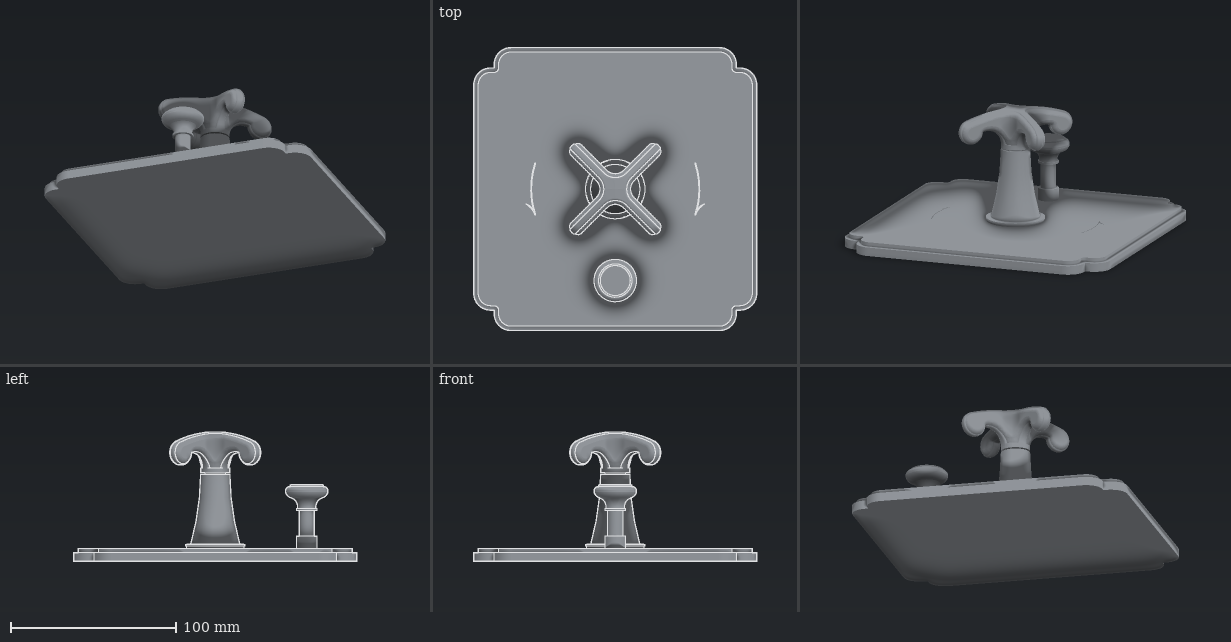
import cadquery as cq
import math

plate_side = 171.5
rim_height = 5.3
rim_width = 2.7
plate_height = 7.9
lobe_radius = 10.3
lobe_start = 22.6
notch_depth = 12.3

flange_radius = 18.0
flange_foot_radius = 17.5
flange_lip_height = 9.3
flange_edge_height = 10.1
flange_crown_radius = 16.6
flange_crown_height = 10.5
post_foot_radius = 15.0
post_waist_radius = 11.1
post_waist_height = 27.5
post_top_height = 52.6
hub_radius = 9.0

groove_height = 0.9
groove_core_radius = 6.3

handle_top_height = 78.4
arm_reach = 37.2
arm_half_width = 4.5
arm_edge_radius = 3.1
ridge_half_width = 2.2
ridge_step = 0.7
ridge_edge_radius = 1.4
hub_band_height = 56.5
tip_radius = 7.5
tip_height = 65.8
arch_radius = 10.3
arch_height = 55.4
cusp_radius = 0.7
web_radius = 7.2

knob_y = -55.4
collar_radius = 6.3
collar_top_height = 15.3
stem_radius = 4.6
ring_height = 30.7
neck_height = 32.0
neck_radius = 5.7
neck_bulge_radius = 6.0
neck_bulge_height = 35.1
neck_top_radius = 8.0
neck_top_height = 37.7
head_radius = 12.9
head_bottom_radius = 10.1
head_bottom_height = 38.5
head_low_height = 41.8
head_high_height = 43.0
head_shoulder_radius = 10.6
head_shoulder_height = 45.3
head_bulge = 0.3
button_radius = 10.1
button_edge_height = 46.1
button_face_radius = 9.1
button_top_height = 46.6

arrow_radius = 51.0
arrow_half_angle = 18.0
arrow_stroke = 0.5
arrow_depth = 0.3
barb_length = 9.0
barb_angle = 50.0
barb_inner_bulge = 1.2
barb_outer_bulge = 0.7


def point_between(start, end, distance):
    """Point at the given distance from start on the way to end."""
    ratio = distance / math.dist(start, end)
    return (start[0] + (end[0] - start[0]) * ratio, start[1] + (end[1] - start[1]) * ratio)


def circle_crossing(center_a, radius_a, center_b, radius_b):
    """Crossing of two circles that lies to the left of the line from a to b."""
    dx = center_b[0] - center_a[0]
    dy = center_b[1] - center_a[1]
    span = math.hypot(dx, dy)
    along = (span**2 + radius_a**2 - radius_b**2) / (2 * span)
    across = math.sqrt(radius_a**2 - along**2)
    x = center_a[0] + (along * dx - across * dy) / span
    y = center_a[1] + (along * dy + across * dx) / span
    return (x, y)


def revolve_profile(profile):
    """Turn a closed (radius, height) profile about the Z axis."""
    return profile.close().revolve(360, (0, 0, 0), (0, 1, 0))


def plate_outline():
    """Square with two convex lobes and a notch at every corner."""
    half = plate_side / 2
    straight_end = half - lobe_start
    notch = half - notch_depth
    lobe_center = half - lobe_radius
    lobe_middle = lobe_radius * math.sqrt(0.5)
    corner = (
        (straight_end + lobe_middle, lobe_center + lobe_middle),
        (straight_end + lobe_radius, lobe_center),
        (notch, notch),
        (lobe_center, straight_end + lobe_radius),
        (lobe_center + lobe_middle, straight_end + lobe_middle),
        (half, straight_end),
        (half, -straight_end),
    )
    outline = cq.Workplane("XY").moveTo(-straight_end, half).lineTo(straight_end, half)
    for quarter in range(4):
        turn = -quarter * math.pi / 2
        points = [
            (x * math.cos(turn) - y * math.sin(turn), x * math.sin(turn) + y * math.cos(turn))
            for x, y in corner
        ]
        first_middle, first_end, notch_point, second_start, second_middle, side_start, side_end = points
        outline = outline.threePointArc(first_middle, first_end)
        outline = outline.lineTo(*notch_point).lineTo(*second_start)
        outline = outline.threePointArc(second_middle, side_start)
        if quarter < 3:
            outline = outline.lineTo(*side_end)
    return outline.close()


def make_plate():
    rim = plate_outline().extrude(rim_height)
    face = plate_outline().offset2D(-rim_width).extrude(plate_height)
    return rim.union(face)


def make_post():
    """Flared post on a lipped flange, with the groove core on top."""
    core_top = post_top_height + 2 * groove_height
    return revolve_profile(
        cq.Workplane("XZ")
        .moveTo(0, rim_height)
        .lineTo(flange_foot_radius, rim_height)
        .lineTo(flange_foot_radius, flange_lip_height)
        .lineTo(flange_radius, flange_lip_height)
        .lineTo(flange_radius, flange_edge_height)
        .lineTo(flange_crown_radius, flange_crown_height)
        .lineTo(post_foot_radius, flange_crown_height)
        .threePointArc((post_waist_radius, post_waist_height), (hub_radius, post_top_height))
        .lineTo(groove_core_radius, post_top_height)
        .lineTo(groove_core_radius, core_top)
        .lineTo(0, core_top)
    )


def make_handle_body(bottom, inset):
    """Domed solid of revolution with the side shape of the arms, shrunk by the inset."""
    hub = hub_radius - inset
    arch_r = arch_radius + inset
    tip_r = tip_radius - inset
    reach = arm_reach - inset
    crown_height = handle_top_height - inset
    tip = (reach - tip_r, tip_height)
    arch = (hub + arch_r, arch_height)
    apex = (0, crown_height)

    drop = crown_height - tip_height
    dome_radius = (tip[0]**2 + drop**2 - tip_r**2) / (2 * (drop - tip_r))
    dome = (0, crown_height - dome_radius)
    dome_end = point_between(dome, tip, dome_radius)
    dome_chord_middle = (dome_end[0] / 2, (dome_end[1] + apex[1]) / 2)
    dome_middle = point_between(dome, dome_chord_middle, dome_radius)

    cusp = circle_crossing(arch, arch_r - cusp_radius, tip, tip_r + cusp_radius)
    arch_end = point_between(arch, cusp, arch_r)
    tip_start = point_between(tip, cusp, tip_r)
    cusp_chord_middle = ((arch_end[0] + tip_start[0]) / 2, (arch_end[1] + tip_start[1]) / 2)
    cusp_middle = point_between(cusp, cusp_chord_middle, cusp_radius)

    arch_middle = (arch[0] - arch_r * math.sqrt(0.5), arch[1] + arch_r * math.sqrt(0.5))
    tip_middle = (reach, tip_height)
    return revolve_profile(
        cq.Workplane("XZ")
        .moveTo(0, bottom)
        .lineTo(hub, bottom)
        .lineTo(hub, arch_height)
        .threePointArc(arch_middle, arch_end)
        .threePointArc(cusp_middle, tip_start)
        .threePointArc(tip_middle, dome_end)
        .threePointArc(dome_middle, apex)
    )


def make_cross_prism(bottom, half_width, blend_radius):
    """Upright prism with the plan shape of the diagonal cross."""
    height = handle_top_height - bottom
    bar = cq.Workplane("XY", origin=(0, 0, bottom)).rect(3 * arm_reach, 2 * half_width).extrude(height)
    cross = bar.rotate((0, 0, 0), (0, 0, 1), 45).union(bar.rotate((0, 0, 0), (0, 0, 1), -45))
    inner_zone = cq.selectors.BoxSelector(
        (-2 * half_width, -2 * half_width, bottom),
        (2 * half_width, 2 * half_width, handle_top_height),
    )
    return cross.edges("|Z").edges(inner_zone).fillet(blend_radius)


def round_side_walls(cross, radius):
    """Round every edge of the upright arm sides and webs of a cross."""
    walls = [
        face for face in cross.faces().vals()
        if face.geomType() in ("PLANE", "CYLINDER") and face.Center().z > hub_band_height
    ]
    return cross.newObject(walls).edges("not |Z").fillet(radius)


def make_handle():
    """Four rounded arms joined by webs, with a raised ridge along each arm."""
    bottom = post_top_height + groove_height
    arm_prism = make_cross_prism(bottom, arm_half_width, web_radius)
    arms = make_handle_body(bottom, ridge_step).intersect(arm_prism)
    arms = round_side_walls(arms, arm_edge_radius)

    ridge_web_radius = web_radius + arm_half_width - ridge_half_width
    ridge_prism = make_cross_prism(bottom, ridge_half_width, ridge_web_radius)
    ridges = make_handle_body(bottom, 0).intersect(ridge_prism)
    ridges = round_side_walls(ridges, ridge_edge_radius)

    band = cq.Workplane("XY", origin=(0, 0, bottom)).circle(hub_radius).extrude(hub_band_height - bottom)

    quarter_space = cq.Workplane("XY").box(arm_reach, arm_reach, handle_top_height, centered=False)
    quarter = arms.intersect(quarter_space).union(ridges.intersect(quarter_space), clean=False)
    quarters = [quarter.rotate((0, 0, 0), (0, 0, 1), 90 * turn).val() for turn in range(4)]
    return cq.Workplane(band.val().fuse(*quarters))


def make_knob():
    """Push-pull knob on a stem standing in a collar."""
    low_middle = (
        (head_bottom_radius + head_radius) / 2 + head_bulge,
        (head_bottom_height + head_low_height) / 2 - head_bulge,
    )
    high_middle = (
        (head_shoulder_radius + head_radius) / 2 + head_bulge,
        (head_high_height + head_shoulder_height) / 2 + head_bulge,
    )
    knob = revolve_profile(
        cq.Workplane("XZ")
        .moveTo(0, rim_height)
        .lineTo(collar_radius, rim_height)
        .lineTo(collar_radius, collar_top_height)
        .lineTo(stem_radius, collar_top_height)
        .lineTo(stem_radius, ring_height)
        .lineTo(collar_radius, ring_height)
        .lineTo(collar_radius, neck_height)
        .lineTo(neck_radius, neck_height)
        .threePointArc((neck_bulge_radius, neck_bulge_height), (neck_top_radius, neck_top_height))
        .lineTo(head_bottom_radius, head_bottom_height)
        .threePointArc(low_middle, (head_radius, head_low_height))
        .lineTo(head_radius, head_high_height)
        .threePointArc(high_middle, (head_shoulder_radius, head_shoulder_height))
        .lineTo(button_radius, head_shoulder_height)
        .lineTo(button_radius, button_edge_height)
        .lineTo(button_face_radius, button_top_height)
        .lineTo(0, button_top_height)
    )
    return knob.translate((0, knob_y, 0))


def make_arrow():
    """Cutter for the right-hand arrow: a curved shaft with one outer barb."""
    floor = plate_height - arrow_depth
    angle = math.radians(arrow_half_angle)
    inner = arrow_radius - arrow_stroke / 2
    outer = arrow_radius + arrow_stroke / 2
    shaft = (
        cq.Workplane("XY", origin=(0, 0, floor))
        .moveTo(inner * math.cos(angle), -inner * math.sin(angle))
        .threePointArc((inner, 0), (inner * math.cos(angle), inner * math.sin(angle)))
        .lineTo(outer * math.cos(angle), outer * math.sin(angle))
        .threePointArc((outer, 0), (outer * math.cos(angle), -outer * math.sin(angle)))
        .close()
        .extrude(2 * arrow_depth)
    )
    barb = (
        cq.Workplane("XY")
        .threePointArc((barb_length / 2, barb_inner_bulge), (barb_length, 0))
        .threePointArc((barb_length / 2, barb_outer_bulge), (0, 0))
        .close()
        .extrude(2 * arrow_depth)
        .rotate((0, 0, 0), (0, 0, 1), barb_angle)
        .translate((arrow_radius * math.cos(angle), -arrow_radius * math.sin(angle), floor))
    )
    return shaft.union(barb)


arrow = make_arrow()
plate = make_plate().cut(arrow).cut(arrow.mirror("YZ"))
result = plate.union(make_knob()).union(make_post()).union(make_handle(), clean=False)